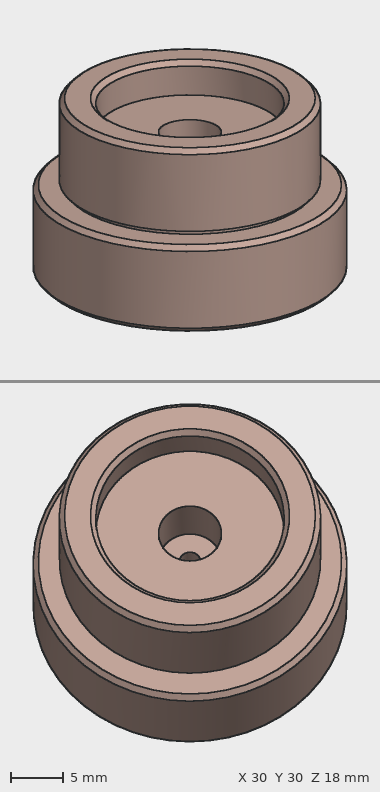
import cadquery as cq

flange_diameter = 30.0
flange_height = 9.0
total_height = 18.0
boss_diameter = 25.0
edge_chamfer = 0.5

groove_diameter = 24.0
groove_height = 0.5

recess_diameter = 18.0
recess_depth = 3.5
counterbore_diameter = 6.0
counterbore_floor = flange_height
through_diameter = 2.0


def cylinder(diameter, bottom, top):
    """Upright cylinder on the part axis between two heights."""
    return cq.Workplane("XY").workplane(offset=bottom).circle(diameter / 2).extrude(top - bottom)


flange = cylinder(flange_diameter, 0, flange_height).edges().chamfer(edge_chamfer)
boss_bottom = flange_height + groove_height
neck = cylinder(groove_diameter, flange_height, boss_bottom)
boss = cylinder(boss_diameter, boss_bottom, total_height).faces(">Z").edges().chamfer(edge_chamfer)
body = flange.union(neck).union(boss)

recess_floor = total_height - recess_depth
body = body.cut(cylinder(recess_diameter, recess_floor, total_height))
mouth_edge = cq.selectors.RadiusNthSelector(0)
body = body.faces(">Z").edges(mouth_edge).chamfer(edge_chamfer)
body = body.cut(cylinder(counterbore_diameter, counterbore_floor, recess_floor))
result = body.cut(cylinder(through_diameter, 0, counterbore_floor))